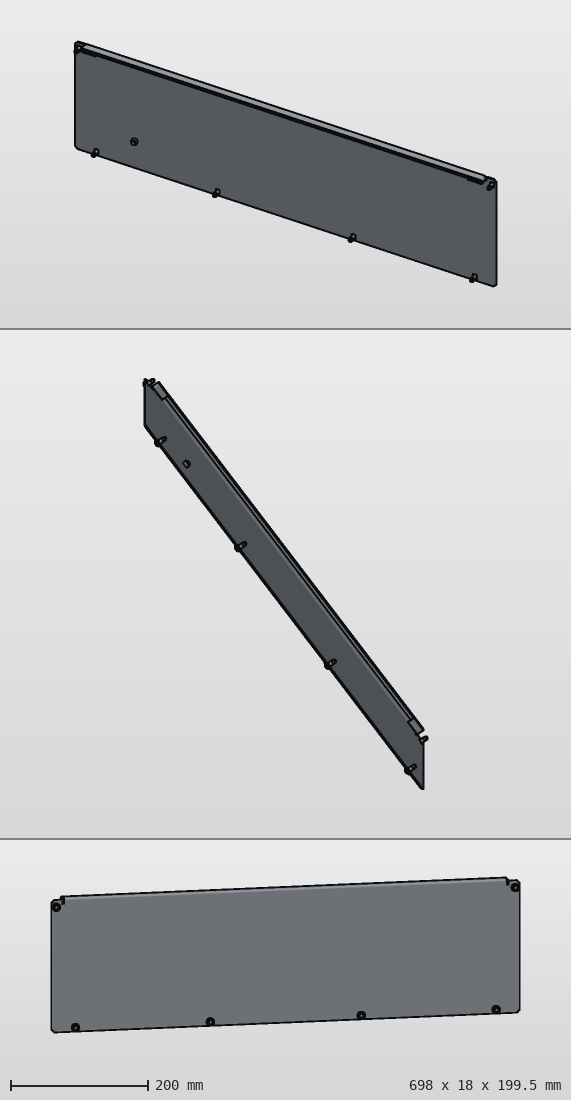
import cadquery as cq

sheet_width = 698.0
sheet_thickness = 2.3
panel_height = 199.5
overall_depth = 18.0
ear_drop = 2.0
corner_chamfer = 4.55
bend_inner_radius = 1.0
bend_outer_radius = bend_inner_radius + sheet_thickness

head_height = 4.05
flange_reach = overall_depth - head_height
flange_width = 665.0
hem_gap = 3.0
hem_height = 2 * sheet_thickness + hem_gap
hem_length = 24.5
relief_depth = 8.5

rod_radius = 2.45
rod_y = -10.5
rod_half_length = flange_width / 2 - hem_length

slot_width = 7.0
slot_height = 10.5
head_rim_radius = 5.5
head_rim_thickness = 2.45
head_crown_radius = 3.15
collar_radius = 3.15
collar_end = 8.5
shank_radius = 3.0
screw_end = 13.0
tip_chamfer = 1.05
lower_screw_z = 6.0
lower_screw_xs = (313.5, 112.5)
upper_screw_z = 187.0
upper_screw_x = 342.0

stud_x = -249.0
stud_z = 50.0
stud_radius = 4.75
stud_length = 6.0
stud_chamfer = 1.5

screw_places = [(side * x, lower_screw_z) for x in lower_screw_xs for side in (-1, 1)]
screw_places += [(side * upper_screw_x, upper_screw_z) for side in (-1, 1)]


def forward_cylinder(radius, x, z, start, end):
    """Cylinder along Y, between two distances in front of the sheet's back."""
    return cq.Workplane("XZ", origin=(x, -start, z)).circle(radius).extrude(end - start)


def sheet_blank():
    """Flat sheet with four cut corners, its top edge relieved over the flange's width."""
    ear_top = panel_height - ear_drop
    blank = (
        cq.Workplane("XZ")
        .center(0, ear_top / 2)
        .rect(sheet_width, ear_top)
        .extrude(sheet_thickness)
        .edges("|Y")
        .chamfer(corner_chamfer)
    )
    relief = (
        cq.Workplane("XZ")
        .center(0, panel_height)
        .rect(flange_width, 2 * relief_depth)
        .extrude(sheet_thickness)
    )
    return blank.cut(relief)


def bent_flange():
    """Bend and forward flange between the two end folds."""
    width = flange_width - 2 * bend_outer_radius
    return (
        cq.Workplane("YZ", origin=(-width / 2, 0, 0))
        .moveTo(0, panel_height - relief_depth)
        .lineTo(0, panel_height - bend_outer_radius)
        .radiusArc((-bend_outer_radius, panel_height), -bend_outer_radius)
        .lineTo(-flange_reach, panel_height)
        .lineTo(-flange_reach, panel_height - sheet_thickness)
        .lineTo(-bend_outer_radius, panel_height - sheet_thickness)
        .radiusArc((-sheet_thickness, panel_height - bend_outer_radius), bend_inner_radius)
        .lineTo(-sheet_thickness, panel_height - relief_depth)
        .close()
        .extrude(width)
    )


def left_hem():
    """Two quarter bends and a return leaf, folded under the flange's left end."""
    outer_x = -flange_width / 2
    inner_x = outer_x + sheet_thickness
    fold_x = outer_x + bend_outer_radius
    leaf_x = outer_x + hem_length
    top = panel_height
    bottom = panel_height - hem_height
    return (
        cq.Workplane("XZ", origin=(0, -bend_outer_radius, 0))
        .moveTo(fold_x, top)
        .radiusArc((outer_x, top - bend_outer_radius), -bend_outer_radius)
        .lineTo(outer_x, bottom + bend_outer_radius)
        .radiusArc((fold_x, bottom), -bend_outer_radius)
        .lineTo(leaf_x, bottom)
        .lineTo(leaf_x, bottom + sheet_thickness)
        .lineTo(fold_x, bottom + sheet_thickness)
        .radiusArc((inner_x, bottom + bend_outer_radius), bend_inner_radius)
        .lineTo(inner_x, top - bend_outer_radius)
        .radiusArc((fold_x, top - sheet_thickness), bend_inner_radius)
        .close()
        .extrude(flange_reach - bend_outer_radius)
    )


def screw_slot(x, z):
    """Upright round-ended slot through the sheet."""
    return (
        cq.Workplane("XZ", origin=(x, 0, z))
        .slot2D(slot_height, slot_width, 90)
        .extrude(sheet_thickness)
    )


def make_panel():
    """One folded sheet: blank, top flange and two end hems, with the screw slots cut."""
    hem = left_hem()
    panel = sheet_blank().union(bent_flange()).union(hem).union(hem.mirror("YZ"))
    for x, z in screw_places:
        panel = panel.cut(screw_slot(x, z))
    return panel


def make_rod():
    """Rod along X, touching the underside of the flange."""
    rod_z = panel_height - sheet_thickness - rod_radius
    return (
        cq.Workplane("YZ", origin=(-rod_half_length, rod_y, rod_z))
        .circle(rod_radius)
        .extrude(2 * rod_half_length)
    )


def make_screw(x, z):
    """Stepped head behind the sheet, collar through the sheet's slot, chamfered shank."""
    shank = forward_cylinder(shank_radius, x, z, 0, screw_end).faces("<Y").chamfer(tip_chamfer)
    collar = forward_cylinder(collar_radius, x, z, 0, collar_end)
    rim = forward_cylinder(head_rim_radius, x, z, -head_rim_thickness, 0)
    crown = forward_cylinder(head_crown_radius, x, z, -head_height, 0)
    return shank.union(collar).union(rim).union(crown)


def make_stud():
    """Plain stud with a chamfered free end."""
    end = sheet_thickness + stud_length
    stud = forward_cylinder(stud_radius, stud_x, stud_z, sheet_thickness, end)
    return stud.faces("<Y").chamfer(stud_chamfer)


panel = make_panel()
rod = make_rod()
stud = make_stud()
screws = [make_screw(x, z) for x, z in screw_places]

result = cq.Compound.makeCompound([panel.val(), rod.val(), stud.val(), *[screw.val() for screw in screws]])